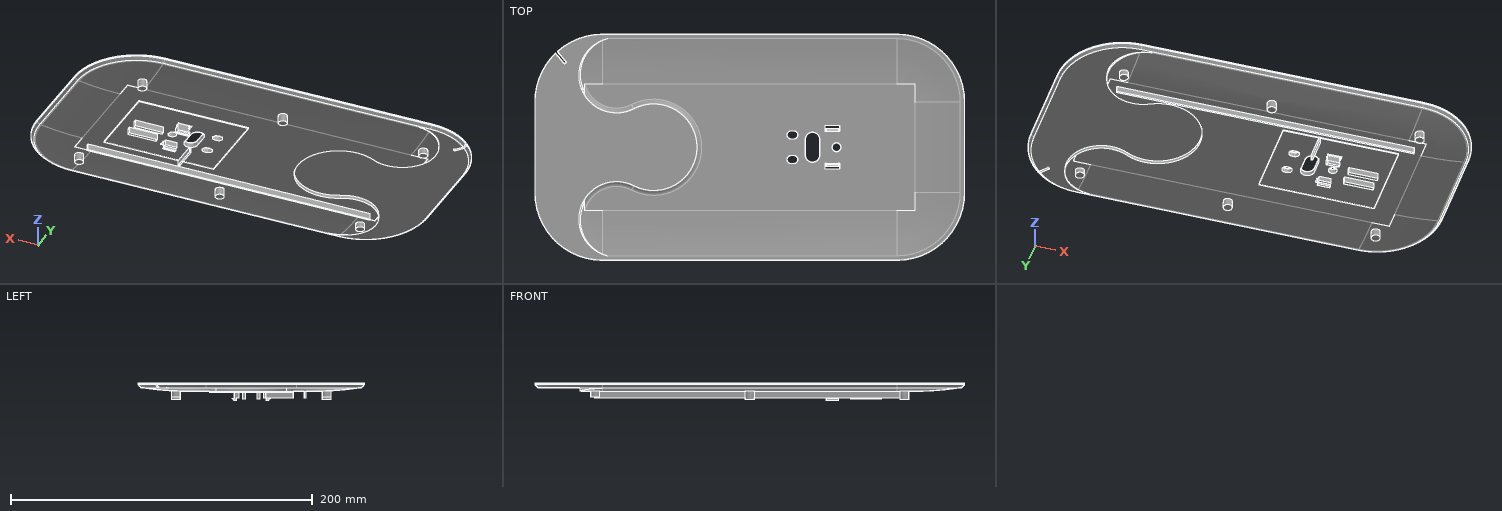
import cadquery as cq
import math

LENGTH = 285.0
WIDTH = 150.0
HEIGHT = 11.3
CORNER_RADIUS = 45.0
THICKNESS = 3.0
EDGE_CHAMFER = 2.0

RIM = 3.0
DISH_DEPTH = 2.4
DISH_SLOPE_WIDTH = 30.0

BULB_X = -63.7
BULB_RADIUS = 28.7
LOBE_RADIUS = 25.0
LOBE_OFFSET_X = 24.6
WALL_RUN = 1.2
WALL_FOOT_RADIUS = 3.2
UNDERSIDE_WALL_GAP = 0.7

NOTCH_INNER_END = (-122.2, 55.8)
NOTCH_ANGLE = 130.0
NOTCH_WIDTH = 1.6
NOTCH_LENGTH = 20.0

CABLE_SLOT_X = 41.6
CABLE_SLOT_SIZE = (19.7, 9.4)
OVAL_HOLE_POSITION = (28.3, 8.15)
OVAL_HOLE_SIZE = (7.0, 5.2)
ROUND_HOLE_X = 57.5
ROUND_HOLE_DIAMETER = 5.7
CLIP_X = 54.7
CLIP_SLOT_LENGTH = 9.6
CLIP_SLOT_INNER_Y = 10.6
CLIP_SLOT_OUTER_Y = 14.3

FOOT_DIAMETER = 6.0
FOOT_X = 102.5
FOOT_Y = 50.0
FOOT_BOTTOM = -10.8
LEFT_FOOT_BOTTOM = -9.2
RIB_LENGTH = 206.0
RIB_THICKNESS = 1.2
RIB_Y = -35.7
RIB_BOTTOM = -9.8
PAD_WIDTH = 55.5
PAD_LENGTH = 80.0
PAD_BOTTOM = -6.1
CROSS_WALL_X = 40.0
CROSS_WALL_INNER_Y = -9.5
CROSS_WALL_OUTER_Y = -28.0
GUIDE_X = 77.0
GUIDE_LENGTH = 20.4
GUIDE_Y = 4.8
GUIDE_THICKNESS = 2.2
GUIDE_BOTTOM = -10.5
CLIP_LENGTH = 8.3
CLIP_ARM_INNER_Y = 9.8
CLIP_ARM_OUTER_Y = 11.4
CLIP_HOOK_Y = 12.6
CLIP_HOOK_HEIGHT = 1.2
CLIP_BRACE_INNER_Y = 8.0
CLIP_BRACE_BOTTOM = -9.8

CORNER_X = LENGTH / 2 - CORNER_RADIUS
CORNER_Y = WIDTH / 2 - CORNER_RADIUS
DISH_RADIUS = CORNER_RADIUS - RIM
FLOOR_RADIUS = DISH_RADIUS - DISH_SLOPE_WIDTH
SLOPE_ARC_RADIUS = (DISH_SLOPE_WIDTH**2 + DISH_DEPTH**2) / (2 * DISH_DEPTH)
FLOOR_X = CORNER_X + FLOOR_RADIUS
FLOOR_Y = CORNER_Y + FLOOR_RADIUS
FLOOR_TOP = -DISH_DEPTH
FLOOR_BOTTOM = FLOOR_TOP - THICKNESS
FLOOR_MIDDLE = FLOOR_TOP - THICKNESS / 2
LOBE_X = BULB_X - LOBE_OFFSET_X
LOBE_Y = math.sqrt((BULB_RADIUS + LOBE_RADIUS) ** 2 - LOBE_OFFSET_X**2)
CUT_DEPTH = 2 * HEIGHT
SELECT_MARGIN = 0.5


def block(x_range, y_range, z_range):
    """Axis-aligned box between the given limits."""
    size = [abs(r[1] - r[0]) for r in (x_range, y_range, z_range)]
    centre = [(r[0] + r[1]) / 2 for r in (x_range, y_range, z_range)]
    return cq.Workplane("XY").box(*size).translate(tuple(centre))


def span(centre, length):
    """Limits of a length centred on a coordinate."""
    return (centre - length / 2, centre + length / 2)


def slope_midpoint():
    """Distance beyond the floor edge and height of the middle of the slope arc."""
    half_angle = math.asin(DISH_SLOPE_WIDTH / SLOPE_ARC_RADIUS) / 2
    return (
        SLOPE_ARC_RADIUS * math.sin(half_angle),
        FLOOR_TOP + SLOPE_ARC_RADIUS * (1 - math.cos(half_angle)),
    )


def dish_section(plane, corner_offset):
    """Full cross-section of the dish: level floor with an arc up to the rim on each side."""
    rise_run, rise_z = slope_midpoint()
    rim = corner_offset + DISH_RADIUS
    floor = corner_offset + FLOOR_RADIUS
    return (
        cq.Workplane(plane)
        .moveTo(-rim, 0)
        .threePointArc((-floor - rise_run, rise_z), (-floor, FLOOR_TOP))
        .lineTo(floor, FLOOR_TOP)
        .threePointArc((floor + rise_run, rise_z), (rim, 0))
        .close()
    )


def dish_corner():
    """Round corner of the dish, turned about the corner centre."""
    rise_run, rise_z = slope_midpoint()
    return (
        cq.Workplane("XZ")
        .lineTo(0, FLOOR_TOP)
        .lineTo(FLOOR_RADIUS, FLOOR_TOP)
        .threePointArc((FLOOR_RADIUS + rise_run, rise_z), (DISH_RADIUS, 0))
        .close()
        .revolve(360, (0, 0, 0), (0, 1, 0))
    )


def dish():
    """Volume of the dished recess, with its flat rectangular floor squared at the corners."""
    volume = dish_section("YZ", CORNER_Y).extrude(CORNER_X, both=True)
    volume = volume.union(dish_section("XZ", CORNER_X).extrude(CORNER_Y, both=True))
    for x in (-CORNER_X, CORNER_X):
        for y in (-CORNER_Y, CORNER_Y):
            volume = volume.union(dish_corner().translate((x, y, 0)))
    return volume.union(block((-FLOOR_X, FLOOR_X), (-FLOOR_Y, FLOOR_Y), (FLOOR_TOP, 0)))


def tongue_outline(growth):
    """Outline of the tongue, grown outward, closed well beyond the left end of the tray."""
    bulb = BULB_RADIUS + growth
    lobe = LOBE_RADIUS - growth
    reach = BULB_RADIUS + LOBE_RADIUS
    tangent_x = BULB_X - LOBE_OFFSET_X * bulb / reach
    tangent_y = LOBE_Y * bulb / reach
    return (
        cq.Workplane("XY")
        .moveTo(-LENGTH, -WIDTH)
        .lineTo(LOBE_X, -WIDTH)
        .lineTo(LOBE_X, -LOBE_Y - lobe)
        .threePointArc((LOBE_X - lobe, -LOBE_Y), (tangent_x, -tangent_y))
        .threePointArc((BULB_X + bulb, 0), (tangent_x, tangent_y))
        .threePointArc((LOBE_X - lobe, LOBE_Y), (LOBE_X, LOBE_Y + lobe))
        .lineTo(LOBE_X, WIDTH)
        .lineTo(-LENGTH, WIDTH)
        .close()
    )


def tongue():
    """Tongue standing in the dish, with a sloping wall filleted into the flat floor."""
    wall_angle = math.degrees(math.atan2(WALL_RUN, DISH_DEPTH))
    body = tongue_outline(WALL_RUN).extrude(DISH_DEPTH, taper=wall_angle).translate((0, 0, FLOOR_TOP))
    over_floor = block((-FLOOR_X, FLOOR_X), (-FLOOR_Y, FLOOR_Y), (FLOOR_TOP, 0))
    floor_slab = block((-FLOOR_X, FLOOR_X), (-FLOOR_Y, FLOOR_Y), (FLOOR_BOTTOM, FLOOR_TOP))
    foot = body.intersect(over_floor).union(floor_slab)
    wall_base = cq.selectors.BoxSelector(
        (SELECT_MARGIN - FLOOR_X, SELECT_MARGIN - FLOOR_Y, FLOOR_TOP - SELECT_MARGIN),
        (FLOOR_X - SELECT_MARGIN, FLOOR_Y - SELECT_MARGIN, FLOOR_TOP + SELECT_MARGIN),
    )
    return body.union(foot.edges(wall_base).fillet(WALL_FOOT_RADIUS))


def tongue_hollow():
    """Space left open beneath the tongue."""
    return tongue_outline(UNDERSIDE_WALL_GAP).extrude(-CUT_DEPTH)


def pad():
    """Thickened patch of floor around the openings."""
    return block(span(CLIP_X, PAD_LENGTH), span(0, PAD_WIDTH), (PAD_BOTTOM, FLOOR_MIDDLE))


def tray():
    """Tray shell with a chamfered lower edge, thickened by the pad."""
    plate = (
        cq.Workplane("XY")
        .rect(LENGTH, WIDTH)
        .extrude(-THICKNESS)
        .edges("|Z")
        .fillet(CORNER_RADIUS)
        .faces("<Z")
        .edges()
        .chamfer(EDGE_CHAMFER)
    )
    recess = dish()
    pan = recess.translate((0, 0, -THICKNESS)).union(pad()).cut(tongue_hollow())
    return plate.union(pan).cut(recess.cut(tongue()))


def feet():
    """Six round feet; the left pair is shorter."""
    legs = cq.Workplane("XY")
    for x, bottom in ((-FOOT_X, LEFT_FOOT_BOTTOM), (0, FOOT_BOTTOM), (FOOT_X, FOOT_BOTTOM)):
        pair = (
            cq.Workplane("XY", origin=(x, 0, bottom))
            .pushPoints([(0, -FOOT_Y), (0, FOOT_Y)])
            .circle(FOOT_DIAMETER / 2)
            .extrude(FLOOR_MIDDLE - bottom)
        )
        legs = legs.add(pair)
    return legs.combine()


def underside_walls():
    """Long rib, cross wall and the pair of guide ribs."""
    rib = block(span(0, RIB_LENGTH), span(RIB_Y, RIB_THICKNESS), (RIB_BOTTOM, FLOOR_MIDDLE))
    cross_wall = block(
        span(CROSS_WALL_X, RIB_THICKNESS),
        (CROSS_WALL_OUTER_Y, CROSS_WALL_INNER_Y),
        (RIB_BOTTOM, FLOOR_MIDDLE),
    )
    walls = rib.union(cross_wall)
    for y in (-GUIDE_Y, GUIDE_Y):
        guide = block(span(GUIDE_X, GUIDE_LENGTH), span(y, GUIDE_THICKNESS), (GUIDE_BOTTOM, FLOOR_MIDDLE))
        walls = walls.union(guide)
    return walls


def clip():
    """Snap clip on the +Y side: an arm with an outward hook and a shorter brace behind it."""
    return (
        cq.Workplane("YZ")
        .moveTo(CLIP_BRACE_INNER_Y, FLOOR_MIDDLE)
        .lineTo(CLIP_BRACE_INNER_Y, CLIP_BRACE_BOTTOM)
        .lineTo(CLIP_ARM_INNER_Y, CLIP_BRACE_BOTTOM)
        .lineTo(CLIP_ARM_INNER_Y, -HEIGHT)
        .lineTo(CLIP_ARM_OUTER_Y, -HEIGHT)
        .lineTo(CLIP_HOOK_Y, -HEIGHT + CLIP_HOOK_HEIGHT)
        .lineTo(CLIP_ARM_OUTER_Y, -HEIGHT + CLIP_HOOK_HEIGHT)
        .lineTo(CLIP_ARM_OUTER_Y, FLOOR_MIDDLE)
        .close()
        .extrude(CLIP_LENGTH / 2, both=True)
        .translate((CLIP_X, 0, 0))
    )


def through(sketch):
    """Cutter made from an outline, passing right through the tray."""
    return sketch.extrude(CUT_DEPTH / 2, both=True)


def openings():
    """Cable slot, oval and round holes, clip slots and the notch in the rim."""
    oval_x, oval_y = OVAL_HOLE_POSITION
    cutters = through(cq.Workplane("XY").center(CABLE_SLOT_X, 0).slot2D(*CABLE_SLOT_SIZE, 90))
    round_hole = through(cq.Workplane("XY").center(ROUND_HOLE_X, 0).circle(ROUND_HOLE_DIAMETER / 2))
    cutters = cutters.union(round_hole)
    for side in (-1, 1):
        oval = through(cq.Workplane("XY").center(oval_x, side * oval_y).slot2D(*OVAL_HOLE_SIZE))
        clip_slot = block(
            span(CLIP_X, CLIP_SLOT_LENGTH),
            (side * CLIP_SLOT_INNER_Y, side * CLIP_SLOT_OUTER_Y),
            (-HEIGHT, 0),
        )
        cutters = cutters.union(oval).union(clip_slot)
    notch = block((0, NOTCH_LENGTH), span(0, NOTCH_WIDTH), (-HEIGHT, 0))
    notch = notch.rotate((0, 0, 0), (0, 0, 1), NOTCH_ANGLE).translate((*NOTCH_INNER_END, 0))
    return cutters.union(notch)


clips = clip().union(clip().mirror("XZ"))
result = tray().union(feet()).union(underside_walls()).cut(openings()).union(clips)